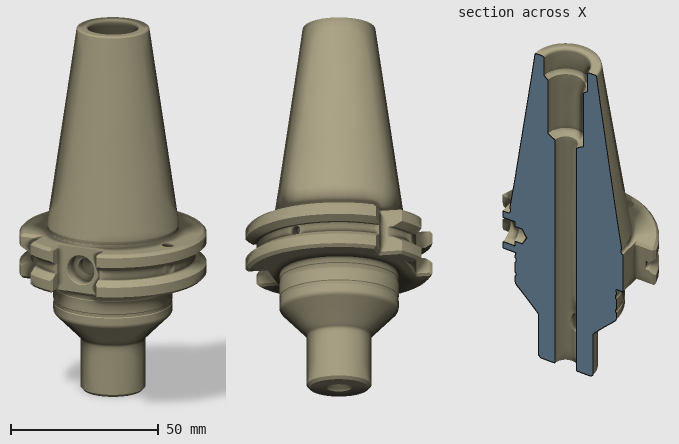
import cadquery as cq
import math


gauge_radius = 44.45 / 2
taper_slope = 7 / 24 / 2
taper_angle = math.atan(taper_slope)
taper_top_z = 68.25
taper_bottom_z = -1.2
taper_rim_rounding = 0.8
taper_top_radius = gauge_radius - taper_slope * taper_top_z
taper_bottom_radius = gauge_radius - taper_slope * taper_bottom_z

flange_radius = 63.55 / 2
flange_top_z = -3.2
flange_bottom_z = -19.0
flange_chamfer = 1.0
neck_radius = 22.1
neck_rounding = 0.8
vee_center_z = -11.1
vee_floor_radius = 28.0
vee_floor_half_width = 1.75
vee_mouth_half_width = 3.5
vee_ledge_radius = 29.2

body_radius = 40.5 / 2
groove_floor_radius = 40 / 2
relief_bottom_z = -20.1
upper_groove_z = (-21.1, -23.0)
lower_groove_z = (-27.3, -28.8)
cone_top_z = -31.9
cone_top_rounding = 2.0
cone_foot_rounding = 1.2
cone_half_angle = math.radians(45)
nose_radius = 22 / 2
nose_bottom_z = -59.5
nose_chamfer = 1.0
cone_bottom_z = cone_top_z - (body_radius - nose_radius) / math.tan(cone_half_angle)

slot_half_width = 16.1 / 2
slot_chamfer = 0.85
slot_corner_radius = 0.5
front_slot_floor = 25.0
rear_slot_floor = 22.8

notch_wall = 18.5
notch_chamfer = 1.0

chip_hole_radius = 10 / 2
chip_hole_chamfer = 0.25
chip_hole_depth = 4.6
pilot_radius = 6 / 2
pilot_depth = 3.0
drill_half_angle = math.radians(59)

coolant_radius = 3.9 / 2
coolant_pitch_radius = 26.9
coolant_tilt = math.radians(30)
coolant_angles = (160, 340)
plug_radius = 3.24 / 2
plug_mouth_radius = 4.3 / 2
plug_mouth_depth = plug_mouth_radius - plug_radius

pilot_bore_radius = 17 / 2
pilot_bore_rounding = 1.0
pilot_bore_depth = 8.2
seat_drop = 1.2
thread_radius = 13.83 / 2
thread_bottom_z = taper_top_z - 32
through_radius = 8.38 / 2


def point_on_flange(half_chord):
    """Distance from the centre plane at which a chord of the flange has this half width."""
    return math.sqrt(flange_radius**2 - half_chord**2)


def make_body():
    """Revolve the outside of the holder."""
    rim_setback = taper_rim_rounding * math.tan((math.pi / 2 - taper_angle) / 2)
    top_setback = cone_top_rounding * math.tan(cone_half_angle / 2)
    foot_setback = cone_foot_rounding * math.tan(cone_half_angle / 2)
    sine = math.sin(cone_half_angle)
    cosine = math.cos(cone_half_angle)
    groove_depth = body_radius - groove_floor_radius
    profile = (
        cq.Workplane("XZ")
        .moveTo(0, taper_top_z)
        .lineTo(taper_top_radius - rim_setback, taper_top_z)
        .radiusArc(
            (
                taper_top_radius + rim_setback * math.sin(taper_angle),
                taper_top_z - rim_setback * math.cos(taper_angle),
            ),
            taper_rim_rounding,
        )
        .lineTo(taper_bottom_radius, taper_bottom_z)
        .lineTo(neck_radius, taper_bottom_z)
        .lineTo(neck_radius, flange_top_z + neck_rounding)
        .radiusArc((neck_radius + neck_rounding, flange_top_z), -neck_rounding)
        .lineTo(flange_radius - flange_chamfer, flange_top_z)
        .lineTo(flange_radius, flange_top_z - flange_chamfer)
        .lineTo(flange_radius, vee_center_z + vee_mouth_half_width)
        .lineTo(vee_ledge_radius, vee_center_z + vee_floor_half_width)
        .lineTo(vee_floor_radius, vee_center_z + vee_floor_half_width)
        .lineTo(vee_floor_radius, vee_center_z - vee_floor_half_width)
        .lineTo(vee_ledge_radius, vee_center_z - vee_floor_half_width)
        .lineTo(flange_radius, vee_center_z - vee_mouth_half_width)
        .lineTo(flange_radius, flange_bottom_z + flange_chamfer)
        .lineTo(flange_radius - flange_chamfer, flange_bottom_z)
        .lineTo(groove_floor_radius, flange_bottom_z)
        .lineTo(body_radius, relief_bottom_z)
    )
    for top_z, bottom_z in (upper_groove_z, lower_groove_z):
        profile = (
            profile.lineTo(body_radius, top_z)
            .lineTo(groove_floor_radius, top_z - groove_depth)
            .lineTo(groove_floor_radius, bottom_z + groove_depth)
            .lineTo(body_radius, bottom_z)
        )
    profile = (
        profile.lineTo(body_radius, cone_top_z + top_setback)
        .radiusArc(
            (body_radius - top_setback * sine, cone_top_z - top_setback * cosine),
            cone_top_rounding,
        )
        .lineTo(
            nose_radius + foot_setback * sine,
            cone_bottom_z + foot_setback * cosine,
        )
        .radiusArc((nose_radius, cone_bottom_z - foot_setback), -cone_foot_rounding)
        .lineTo(nose_radius, nose_bottom_z + nose_chamfer)
        .lineTo(nose_radius - nose_chamfer, nose_bottom_z)
        .lineTo(0, nose_bottom_z)
        .close()
    )
    return profile.revolve(360, (0, 0, 0), (0, 1, 0))


def make_bore():
    """Stepped central bore, open at both ends."""
    ledge_z = taper_top_z - pilot_bore_depth
    seat_z = ledge_z - seat_drop
    drill_tip_z = thread_bottom_z - (thread_radius - through_radius) / math.tan(drill_half_angle)
    return (
        cq.Workplane("XZ")
        .moveTo(0, taper_top_z)
        .lineTo(pilot_bore_radius + pilot_bore_rounding, taper_top_z)
        .radiusArc((pilot_bore_radius, taper_top_z - pilot_bore_rounding), -pilot_bore_rounding)
        .lineTo(pilot_bore_radius, ledge_z)
        .lineTo(thread_radius, seat_z)
        .lineTo(thread_radius, thread_bottom_z)
        .lineTo(through_radius, drill_tip_z)
        .lineTo(through_radius, nose_bottom_z)
        .lineTo(0, nose_bottom_z)
        .close()
        .revolve(360, (0, 0, 0), (0, 1, 0))
    )


def make_slot(floor_distance):
    """Drive slot on the +Y side, with chamfered top, bottom and outer edges on its two walls."""
    flange_height = flange_top_z - flange_bottom_z
    flange_middle_z = (flange_top_z + flange_bottom_z) / 2
    length = flange_radius - floor_distance
    channel = (
        cq.Workplane("XY")
        .box(2 * slot_half_width, length, flange_height, centered=(True, False, True))
        .faces("<Y")
        .edges("|Z")
        .fillet(slot_corner_radius)
        .translate((0, floor_distance, flange_middle_z))
    )
    flared_half_width = slot_half_width + slot_chamfer
    for z, inward in ((flange_top_z, -1), (flange_bottom_z, 1)):
        flare = (
            cq.Workplane("XZ", origin=(0, floor_distance, 0))
            .polyline(
                [
                    (-flared_half_width, z),
                    (flared_half_width, z),
                    (slot_half_width, z + inward * slot_chamfer),
                    (-slot_half_width, z + inward * slot_chamfer),
                ]
            )
            .close()
            .extrude(-length)
        )
        channel = channel.union(flare)
    mouth_y = point_on_flange(flared_half_width)
    overshoot = flange_radius - mouth_y
    mouth = (
        cq.Workplane("XY", origin=(0, 0, flange_bottom_z))
        .polyline(
            [
                (-slot_half_width, mouth_y - slot_chamfer),
                (slot_half_width, mouth_y - slot_chamfer),
                (flared_half_width + overshoot, flange_radius),
                (-flared_half_width - overshoot, flange_radius),
            ]
        )
        .close()
        .extrude(flange_height)
    )
    return channel.union(mouth)


def make_notch():
    """Square notch through the flange, chamfered along its top and bottom edges."""
    size = flange_radius
    corner = -notch_wall - size / 2
    notch = (
        cq.Workplane("XY", origin=(corner, corner, flange_bottom_z))
        .rect(size, size)
        .extrude(flange_top_z - flange_bottom_z)
    )
    for z, direction in ((flange_top_z, 1), (flange_bottom_z, -1)):
        flare = (
            cq.Workplane("XY", origin=(corner, corner, z - direction * notch_chamfer))
            .rect(size, size)
            .extrude(direction * notch_chamfer, taper=-45)
        )
        notch = notch.union(flare)
    return notch


def make_chip_hole():
    """Stepped blind hole with a drill point, running in +Y from the front slot floor."""
    step_depth = chip_hole_depth + pilot_depth
    tip_depth = step_depth + pilot_radius / math.tan(drill_half_angle)
    return (
        cq.Workplane("XY", origin=(0, -front_slot_floor, vee_center_z))
        .polyline(
            [
                (0, 0),
                (chip_hole_radius + chip_hole_chamfer, 0),
                (chip_hole_radius, chip_hole_chamfer),
                (chip_hole_radius, chip_hole_depth),
                (pilot_radius, chip_hole_depth),
                (pilot_radius, step_depth),
                (0, tip_depth),
            ]
        )
        .close()
        .revolve(360, (0, 0, 0), (0, 1, 0))
    )


def make_coolant_hole():
    """Inclined hole from the flange face to the bore, plus its radial plug hole, on the +X side."""
    along = cq.Vector(-math.sin(coolant_tilt), 0, -math.cos(coolant_tilt))
    entry = cq.Vector(coolant_pitch_radius, 0, flange_top_z)
    length_to_axis = coolant_pitch_radius / math.sin(coolant_tilt)
    lead = 2 * coolant_radius
    inclined = cq.Solid.makeCylinder(coolant_radius, length_to_axis + lead, entry - along * lead, along)

    drop_to_plug = flange_top_z - vee_center_z
    meeting_radius = coolant_pitch_radius - drop_to_plug * math.tan(coolant_tilt)
    plug_start = cq.Vector(meeting_radius, 0, vee_center_z)
    outward = cq.Vector(1, 0, 0)
    plug = cq.Solid.makeCylinder(plug_radius, vee_floor_radius - meeting_radius, plug_start, outward)
    mouth_start = cq.Vector(vee_floor_radius - plug_mouth_depth, 0, vee_center_z)
    mouth = cq.Solid.makeCone(plug_radius, plug_mouth_radius, plug_mouth_depth, mouth_start, outward)
    return cq.Workplane(inclined).union(cq.Workplane(plug)).union(cq.Workplane(mouth))


result = make_body().cut(make_bore())
result = result.cut(make_slot(rear_slot_floor))
result = result.cut(make_slot(front_slot_floor).rotate((0, 0, 0), (0, 0, 1), 180))
result = result.cut(make_notch())
result = result.cut(make_chip_hole())
for angle in coolant_angles:
    result = result.cut(make_coolant_hole().rotate((0, 0, 0), (0, 0, 1), angle))